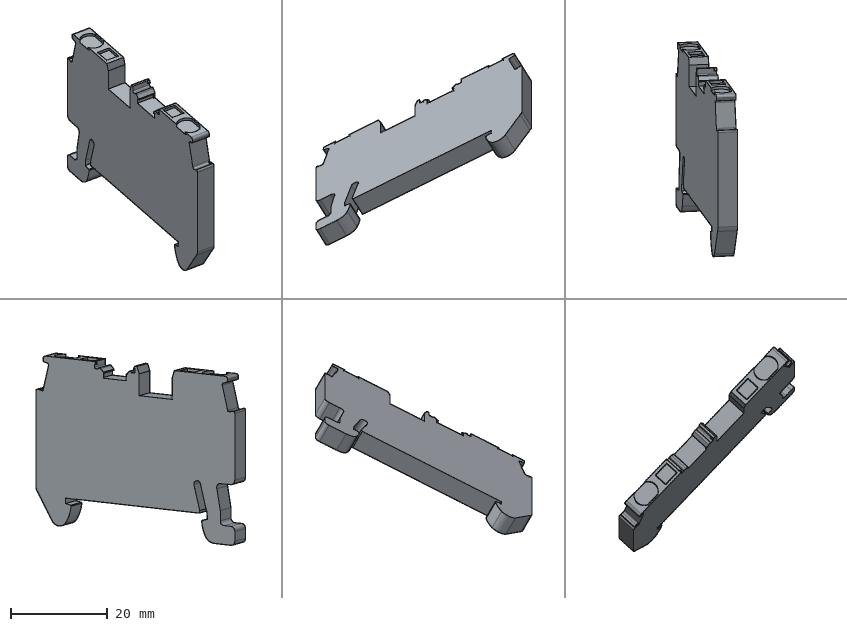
import cadquery as cq
import math

LENGTH = 48.8
THICKNESS = 4.15
HEIGHT = 35.4

BACK_WALL = 0.3
OPEN_DEPTH = THICKNESS - BACK_WALL

BASE_Z = 6.0

SHOULDER_Z = 28.25
SHOULDER_ROUND = 0.4
SHOULDER_LOW = (1.4, 28.05)
NECK_FOOT_MID = (1.65, 28.1)
NECK_FOOT = (1.75, 28.3)
NECK_TOP = (3.05, 33.5)
NECK_ROUND_MID = (3.0, 33.8)
TAB_UNDERSIDE_END = (2.85, 33.9)
TAB_UNDERSIDE_START = (2.0, 34.1)
TAB_END = 1.75
TAB_LOWER_ROUND = 0.45
TAB_LOWER_Z = 34.6
TAB_ROUND = 0.6

SHELF_EDGE_X = 0.45
SHELF_START = (0.6, 28.1)
SHELF_END = (1.1, 27.95)
SHELF_ROUND_MID = (1.55, 28.0)

NOTCH_LEFT = 15.35
NOTCH_RIGHT = 23.45
NOTCH_FLOOR_Z = 29.3
NOTCH_BEVEL_HEIGHT = 1.5
NOTCH_BEVEL_WIDTH = 0.55

SEAT_X = 29.48
SEAT_LIP = 2.8
SEAT_UNDERCUT = 3.15
SEAT_CREST_INNER = 3.45
SEAT_CREST = 3.75
SEAT_CREST_OUTER = 3.95
SEAT_STEP_FOOT = 4.15
SEAT_WALL = 4.95
SEAT_FLOOR_Z = 32.1
SEAT_LIP_LOW_Z = 33.15
SEAT_LIP_TOP_Z = 33.4
SEAT_STEP_Z = 33.9
SEAT_CREST_INNER_Z = 34.05
SEAT_CREST_Z = 34.2
SEAT_CREST_OUTER_Z = 34.1
SEAT_CORNER_ROUND = 0.3

BARB_REACH = 0.3
BARB_HEIGHT = 0.6
BARB_TIP = 0.15
BARB_THICKNESS = 0.55

POCKET_DEPTH = 0.6
ROUND_POCKET_X = 6.25
ROUND_POCKET_LENGTH = 5.35
ROUND_POCKET_FLAT = 3.1
ROUND_POCKET_BACK = 3.75
SQUARE_POCKET_X = 12.1
SQUARE_POCKET_LENGTH = 3.4
SQUARE_POCKET_FRONT = 0.65
SQUARE_POCKET_BACK = 3.5

FLANK_TOP_Z = 7.65
FLANK_ROUND_MID = (48.7, 7.12)
FLANK_START = (48.4, 6.65)
TOE_RADIUS = 2.05
TOE_CENTER = (43.15, TOE_RADIUS)
TOE_FLANK_ANGLE = 58
TOE_CLAW_ANGLE = -48
CLAW_MID = (40.7, 2.35)
CLAW_TIP_LOW = (40.15, 4.45)
CLAW_TIP_HIGH = (40.3, 4.65)
CLAW_ROOT = (41.55, 4.9)

SLOT_CORNER_X = 8.8
SLOT_CHAMFER = (8.6, 6.6)
SLOT_TOP_RIGHT = (10.05, 11.9)
SLOT_TOP_MID = (9.4, 12.75)
SLOT_TOP_LEFT = (8.45, 12.25)
SLOT_LOW_LEFT = (6.85, 6.2)

HOOK_ROOT = (6.8, 4.9)
HOOK_TIP_HIGH = (8.0, 4.6)
HOOK_TIP_LOW = (8.15, 4.4)
HOOK_MID = (7.9, 3.05)
HEEL_RADIUS = 2.65
HEEL_CENTER = (5.0, HEEL_RADIUS)
HEEL_ANGLE = 70
TAIL_TOP_Z = 4.0
TAIL_ROUND = 1.0
ARM_X = 3.55
ARM_FOOT_ROUND = 0.95
ARM_BEND_Z = 7.1
ARM_TOP = (4.4, 11.55)
ARM_ROUND_MID = (4.25, 12.4)
ARM_ROUND_END_X = 3.5
LOWER_CORNER_Z = 12.75
LOWER_CORNER_ROUND = 1.05


def extrude_profile(profile, y_start, y_end):
    """Extrude a closed X-Z outline from y_start to y_end."""
    return profile.extrude(y_start - y_end).translate((0, y_start, 0))


def block(x_min, x_max, y_min, y_max, z_min, z_max):
    """Axis-aligned box between the given limits."""
    size = (x_max - x_min, y_max - y_min, z_max - z_min)
    return cq.Workplane("XY").box(*size, centered=False).translate((x_min, y_min, z_min))


def mirrored(shape):
    """Copy of a shape on the other end of the part."""
    return shape.mirror("YZ", (LENGTH / 2, 0, 0))


def circle_point(center, radius, angle):
    """Point on a circle, the angle in degrees measured from straight down towards +X."""
    turn = math.radians(angle)
    return (center[0] + radius * math.sin(turn), center[1] - radius * math.cos(turn))


def body():
    """Full-thickness plate with both rail feet and the spring slot."""
    outline = (
        cq.Workplane("XZ")
        .moveTo(0, HEIGHT)
        .lineTo(LENGTH, HEIGHT)
        .lineTo(LENGTH, FLANK_TOP_Z)
        .threePointArc(FLANK_ROUND_MID, FLANK_START)
        .lineTo(*circle_point(TOE_CENTER, TOE_RADIUS, TOE_FLANK_ANGLE))
        .threePointArc((TOE_CENTER[0], 0), circle_point(TOE_CENTER, TOE_RADIUS, TOE_CLAW_ANGLE))
        .threePointArc(CLAW_MID, CLAW_TIP_LOW)
        .lineTo(*CLAW_TIP_HIGH)
        .lineTo(*CLAW_ROOT)
        .lineTo(CLAW_ROOT[0], BASE_Z)
        .lineTo(SLOT_CORNER_X, BASE_Z)
        .lineTo(*SLOT_CHAMFER)
        .lineTo(*SLOT_TOP_RIGHT)
        .threePointArc(SLOT_TOP_MID, SLOT_TOP_LEFT)
        .lineTo(*SLOT_LOW_LEFT)
        .lineTo(*HOOK_ROOT)
        .lineTo(*HOOK_TIP_HIGH)
        .lineTo(*HOOK_TIP_LOW)
        .threePointArc(HOOK_MID, circle_point(HEEL_CENTER, HEEL_RADIUS, HEEL_ANGLE))
        .radiusArc((HEEL_CENTER[0], 0), HEEL_RADIUS)
        .lineTo(TAIL_ROUND, 0)
        .radiusArc((0, TAIL_ROUND), TAIL_ROUND)
        .lineTo(0, TAIL_TOP_Z - TAIL_ROUND)
        .radiusArc((TAIL_ROUND, TAIL_TOP_Z), TAIL_ROUND)
        .lineTo(ARM_X - ARM_FOOT_ROUND, TAIL_TOP_Z)
        .radiusArc((ARM_X, TAIL_TOP_Z + ARM_FOOT_ROUND), -ARM_FOOT_ROUND)
        .lineTo(ARM_X, ARM_BEND_Z)
        .lineTo(*ARM_TOP)
        .threePointArc(ARM_ROUND_MID, (ARM_ROUND_END_X, LOWER_CORNER_Z))
        .lineTo(LOWER_CORNER_ROUND, LOWER_CORNER_Z)
        .radiusArc((0, LOWER_CORNER_Z + LOWER_CORNER_ROUND), LOWER_CORNER_ROUND)
        .close()
    )
    return extrude_profile(outline, 0, THICKNESS)


def end_relief():
    """Material outside the shoulder, neck and tab of the left end."""
    outline = (
        cq.Workplane("XZ")
        .moveTo(0, SHOULDER_Z - SHOULDER_ROUND)
        .radiusArc((SHOULDER_ROUND, SHOULDER_Z), SHOULDER_ROUND)
        .lineTo(*SHOULDER_LOW)
        .threePointArc(NECK_FOOT_MID, NECK_FOOT)
        .lineTo(*NECK_TOP)
        .threePointArc(NECK_ROUND_MID, TAB_UNDERSIDE_END)
        .lineTo(*TAB_UNDERSIDE_START)
        .radiusArc((TAB_END, TAB_LOWER_Z), TAB_LOWER_ROUND)
        .lineTo(TAB_END, HEIGHT - TAB_ROUND)
        .radiusArc((TAB_END + TAB_ROUND, HEIGHT), TAB_ROUND)
        .lineTo(0, HEIGHT)
        .close()
    )
    return extrude_profile(outline, 0, THICKNESS)


def shoulder_shelf():
    """Sunken shelf of the left shoulder, rounded up into the neck."""
    outline = (
        cq.Workplane("XZ")
        .moveTo(SHELF_EDGE_X, NECK_FOOT[1])
        .lineTo(SHELF_EDGE_X, SHOULDER_Z)
        .lineTo(*SHELF_START)
        .lineTo(*SHELF_END)
        .threePointArc(SHELF_ROUND_MID, NECK_FOOT)
        .close()
    )
    return extrude_profile(outline, 0, OPEN_DEPTH)


def top_notch():
    """Wide notch through the full thickness."""
    bevel_z = HEIGHT - NOTCH_BEVEL_HEIGHT
    outline = cq.Workplane("XZ").polyline([
        (NOTCH_LEFT - NOTCH_BEVEL_WIDTH, HEIGHT),
        (NOTCH_LEFT, bevel_z),
        (NOTCH_LEFT, NOTCH_FLOOR_Z),
        (NOTCH_RIGHT, NOTCH_FLOOR_Z),
        (NOTCH_RIGHT, bevel_z),
        (NOTCH_RIGHT + NOTCH_BEVEL_WIDTH, HEIGHT),
    ]).close()
    return extrude_profile(outline, 0, THICKNESS)


def marker_seat():
    """Stepped recess through the full thickness."""
    half = (
        cq.Workplane("XZ")
        .moveTo(0, SEAT_FLOOR_Z)
        .lineTo(SEAT_LIP, SEAT_FLOOR_Z)
        .lineTo(SEAT_LIP, SEAT_LIP_TOP_Z)
        .lineTo(SEAT_CREST_INNER, SEAT_CREST_INNER_Z)
        .threePointArc((SEAT_CREST, SEAT_CREST_Z), (SEAT_CREST_OUTER, SEAT_CREST_OUTER_Z))
        .lineTo(SEAT_STEP_FOOT, SEAT_STEP_Z)
        .lineTo(SEAT_WALL - SEAT_CORNER_ROUND, SEAT_STEP_Z)
        .radiusArc((SEAT_WALL, SEAT_STEP_Z + SEAT_CORNER_ROUND), -SEAT_CORNER_ROUND)
        .lineTo(SEAT_WALL, HEIGHT)
        .lineTo(0, HEIGHT)
        .close()
    )
    right_half = extrude_profile(half, 0, THICKNESS)
    return right_half.union(right_half.mirror("YZ")).translate((SEAT_X, 0, 0))


def seat_undercut():
    """Slots under both seat lips, stopping at the back wall."""
    return block(
        SEAT_X - SEAT_UNDERCUT, SEAT_X + SEAT_UNDERCUT,
        0, OPEN_DEPTH,
        SEAT_FLOOR_Z, SEAT_LIP_LOW_Z,
    )


def seat_barb(side):
    """Wedge at the top of one seat wall; side is -1 for left and +1 for right."""
    x_wall = SEAT_X + side * SEAT_WALL
    x_tip = x_wall - side * BARB_REACH
    z_low = HEIGHT - BARB_HEIGHT
    outline = cq.Workplane("XZ").polyline([
        (x_wall, HEIGHT),
        (x_tip, z_low + BARB_TIP),
        (x_tip, z_low),
        (x_wall, z_low),
    ]).close()
    return extrude_profile(outline, THICKNESS - BARB_THICKNESS, THICKNESS)


def round_pocket():
    """Shallow pocket with bowed ends, open at the -Y face."""
    flat = ROUND_POCKET_FLAT / 2
    reach = ROUND_POCKET_LENGTH / 2
    y_mid = ROUND_POCKET_BACK / 2
    return (
        cq.Workplane("XY", origin=(ROUND_POCKET_X, 0, HEIGHT - POCKET_DEPTH))
        .moveTo(-flat, 0)
        .lineTo(flat, 0)
        .threePointArc((reach, y_mid), (flat, ROUND_POCKET_BACK))
        .lineTo(-flat, ROUND_POCKET_BACK)
        .threePointArc((-reach, y_mid), (-flat, 0))
        .close()
        .extrude(POCKET_DEPTH)
    )


def square_pocket():
    """Shallow rectangular pocket beside the round one."""
    half = SQUARE_POCKET_LENGTH / 2
    return block(
        SQUARE_POCKET_X - half, SQUARE_POCKET_X + half,
        SQUARE_POCKET_FRONT, SQUARE_POCKET_BACK,
        HEIGHT - POCKET_DEPTH, HEIGHT,
    )


result = body().cut(top_notch()).cut(marker_seat()).cut(seat_undercut())
for side in (-1, 1):
    result = result.union(seat_barb(side))
for recess in (end_relief(), shoulder_shelf(), round_pocket(), square_pocket()):
    result = result.cut(recess).cut(mirrored(recess))